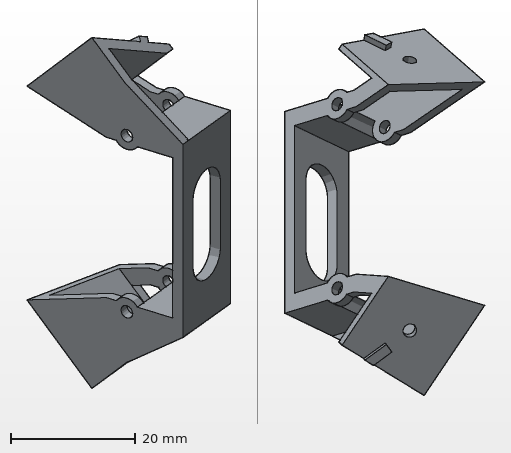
import cadquery as cq
import math

length = 30.04
width = 14.0
half_height = 63.95 / 2
wall = 1.75

spine_thickness = 2.0
slot_width = 8.0
slot_length = 20.0

shelf_bottom = 14.6
shelf_top = 17.6
face_run = 12.5
bend_x = -14.75

pivot_x = -10.8
pivot_z = 16.05
eye_radius = 2.5
pivot_hole_diameter = 2.2

plate_swing = 30.0
plate_hole_diameter = 2.2
plate_thickness = 1.75

rib_width = 1.6
rib_height = 1.0
rib_angle = 21.0
rib_foot_along = 4.08
rib_foot_across = 1.54

swing = math.radians(plate_swing)
front_y = -width / 2
inner_front_y = front_y + wall
inner_rear_y = width / 2 - wall
tip_x = -length
tip_z = half_height - face_run
peak_x = tip_x + face_run
edge_slope = (tip_z - shelf_bottom) / (bend_x - tip_x)
strip_width = shelf_top - shelf_bottom
reach = 2 * length

plate_inset = (inner_rear_y - front_y) * math.tan(swing) + plate_thickness / math.cos(swing)
kink_x = peak_x + plate_inset / math.sqrt(2)
kink_z = half_height - plate_inset / math.sqrt(2)

setback = width / 2 * math.tan(swing) / math.sqrt(2)
open_edge_run = setback * (1 - edge_slope) / (1 + edge_slope)
middle_run = (open_edge_run + face_run) / 2
face_end = (face_run - middle_run) * math.sqrt(2)


def prism(sketch_points, y_start, y_end):
    """Extrude an XZ outline between two Y positions."""
    outline = cq.Workplane("XZ", origin=(0, y_start, 0)).polyline(sketch_points).close()
    return outline.extrude(y_start - y_end)


def cylinder_y(radius, y_start, y_end):
    """Cylinder on the pivot axis between two Y positions."""
    axis = cq.Workplane("XZ", origin=(pivot_x, y_start, pivot_z))
    return axis.circle(radius).extrude(y_start - y_end)


def face_plane():
    """Plane on the outer face: local X climbs the face, local Z points outwards."""
    slope = math.cos(swing) / math.sqrt(2)
    normal = (-slope, math.sin(swing), slope)
    origin = (tip_x + setback + middle_run, 0, tip_z - setback + middle_run)
    return cq.Plane(origin=origin, xDir=(1, 0, 1), normal=normal)


def arm_outline():
    """Full side outline of the upper arm, from the spine round to the open edge."""
    return [
        (0, shelf_bottom),
        (0, shelf_top),
        (kink_x, kink_z),
        (peak_x, half_height),
        (tip_x, tip_z),
        (bend_x, shelf_bottom),
    ]


def rear_wall():
    """Rear side wall: a strip along the open edge, joined to the strip backing the face plate."""
    strip_bend_x = bend_x + strip_width * math.tan(math.atan(edge_slope) / 2)
    corner_x = (shelf_top + edge_slope * strip_bend_x - kink_z + kink_x) / (1 + edge_slope)
    corner_z = kink_z - kink_x + corner_x
    points = [
        (pivot_x, shelf_bottom),
        (pivot_x, shelf_top),
        (strip_bend_x, shelf_top),
        (corner_x, corner_z),
        (kink_x, kink_z),
        (peak_x, half_height),
        (tip_x, tip_z),
        (bend_x, shelf_bottom),
    ]
    return prism(points, inner_rear_y, width / 2)


def shelf():
    """Block joining both side walls to the spine, hollowed around the pivot axis."""
    points = [
        (pivot_x, shelf_bottom),
        (pivot_x, shelf_top),
        (0, shelf_top),
        (0, shelf_bottom),
    ]
    block = prism(points, front_y, width / 2)
    return block.cut(cylinder_y(eye_radius, inner_front_y, inner_rear_y))


def rib(plane):
    """Rib from its square foot to the end of the face, in face coordinates."""
    angle = math.radians(rib_angle)
    half_x = rib_width / 2 * math.sin(angle)
    half_y = rib_width / 2 * math.cos(angle)
    left_foot = (rib_foot_along - half_x, rib_foot_across + half_y)
    right_foot = (rib_foot_along + half_x, rib_foot_across - half_y)
    ends = [(face_end, y + (face_end - x) * math.tan(angle)) for x, y in (left_foot, right_foot)]
    outline = [left_foot, ends[0], ends[1], right_foot]
    return cq.Workplane(plane).polyline(outline).close().extrude(rib_height)


def upper_arm():
    """Hollow arm: two side walls, slanted face plate, shelf, rib and pivot eyes."""
    plane = face_plane()
    behind_face = cq.Workplane(plane).rect(reach, reach).extrude(-reach)
    slab = cq.Workplane(plane).rect(reach, reach).extrude(-plate_thickness)
    plate = prism(arm_outline(), front_y, inner_rear_y).intersect(slab)
    front_wall = prism(arm_outline(), front_y, inner_front_y)
    side_walls = front_wall.union(rear_wall()).intersect(behind_face)
    arm = side_walls.union(plate).union(shelf()).union(rib(plane))
    for y_start, y_end in ((front_y, inner_front_y), (inner_rear_y, width / 2)):
        arm = arm.union(cylinder_y(eye_radius, y_start, y_end))
    arm = arm.cut(cylinder_y(pivot_hole_diameter / 2, front_y, width / 2))
    plate_hole = cq.Workplane(plane).circle(plate_hole_diameter / 2).extrude(-2 * plate_thickness)
    return arm.cut(plate_hole)


def spine():
    """Flat bar joining the two arms, with a vertical slot through its middle."""
    middle = cq.Workplane("XY", origin=(-spine_thickness / 2, 0, 0))
    body = middle.box(spine_thickness, width, 2 * shelf_top)
    slot = cq.Workplane("YZ").slot2D(slot_length, slot_width, 90).extrude(-spine_thickness)
    return body.cut(slot)


arm = upper_arm()
result = spine().union(arm).union(arm.mirror("XY"))